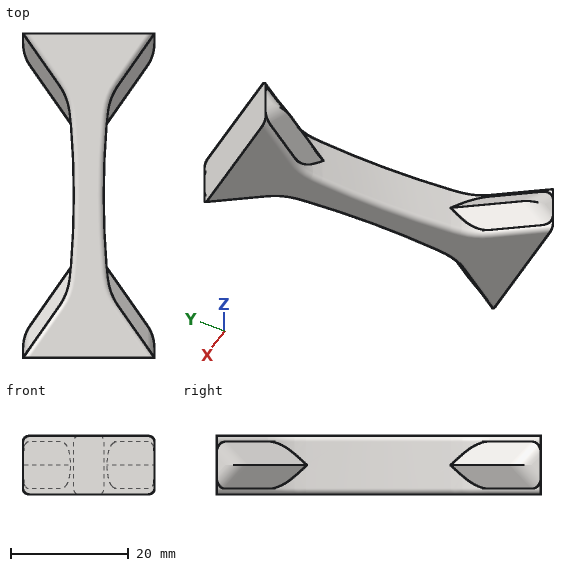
import cadquery as cq
import math

length = 55.0
end_width = 22.32
height = 10.0
edge_radius = 1.0

flank_angle = math.radians(35.0)
neck_start_angle = math.radians(7.2)
waist_end_angle = math.radians(4.7)
neck_radius = 10.0
neck_end_y = 18.69
waist_end_y = 12.27

fin_height = 2.15
fin_root_depth = 1.0
fin_start_x = 2.0
fin_round_radius = 4.0

half_length = length / 2
half_end = end_width / 2
mid_z = height / 2
fin_half_thickness = mid_z - edge_radius
beyond_part = 4 * length


def arc_mid(start, start_angle, end, end_angle):
    """Middle point of an arc that turns from one slope to another while y grows."""
    radius = (end[1] - start[1]) / (math.sin(end_angle) - math.sin(start_angle))
    mid_angle = (start_angle + end_angle) / 2
    return (
        start[0] + radius * (math.cos(start_angle) - math.cos(mid_angle)),
        start[1] + radius * (math.sin(mid_angle) - math.sin(start_angle)),
    )


def arc_rise(rise_y, start_angle, end_angle):
    """Change in x along an arc that climbs rise_y between two slopes."""
    return rise_y * math.tan((start_angle + end_angle) / 2)


def make_body():
    """Waisted bar with tangent side arcs and rounded long edges."""
    end = (half_end, half_length)
    neck_end = (half_end - (half_length - neck_end_y) * math.tan(flank_angle), neck_end_y)
    neck_rise = neck_radius * (math.sin(flank_angle) - math.sin(neck_start_angle))
    neck_start = (
        neck_end[0] - arc_rise(neck_rise, neck_start_angle, flank_angle),
        neck_end_y - neck_rise,
    )
    shoulder_rise = neck_start[1] - waist_end_y
    waist_end = (
        neck_start[0] - arc_rise(shoulder_rise, waist_end_angle, neck_start_angle),
        waist_end_y,
    )
    waist = (waist_end[0] - arc_rise(waist_end_y, 0, waist_end_angle), 0)

    shoulder_mid = arc_mid(waist_end, waist_end_angle, neck_start, neck_start_angle)
    neck_mid = arc_mid(neck_start, neck_start_angle, neck_end, flank_angle)

    def flip_y(point):
        return (point[0], -point[1])

    half_body = (
        cq.Workplane("XY")
        .moveTo(0, half_length)
        .lineTo(*end)
        .lineTo(*neck_end)
        .threePointArc(neck_mid, neck_start)
        .threePointArc(shoulder_mid, waist_end)
        .threePointArc(waist, flip_y(waist_end))
        .threePointArc(flip_y(shoulder_mid), flip_y(neck_start))
        .threePointArc(flip_y(neck_mid), flip_y(neck_end))
        .lineTo(*flip_y(end))
        .lineTo(0, -half_length)
        .close()
        .extrude(height)
    )
    around_side = cq.selectors.BoxSelector(
        (edge_radius, -half_length + edge_radius, -edge_radius),
        (half_end, half_length - edge_radius, height + edge_radius),
    )
    half_body = half_body.edges("#Z").edges(around_side).fillet(edge_radius)
    return half_body.union(half_body.mirror("YZ"))


def make_fin():
    """Fin on the +X +Y flank: a ridge parallel to the flank, rounded into the side plane."""
    along = (math.sin(flank_angle), math.cos(flank_angle), 0)
    inward = (-math.cos(flank_angle), math.sin(flank_angle), 0)

    start_x = fin_start_x + fin_height * inward[0]
    start_y = half_length - (half_end - start_x) / math.tan(flank_angle)
    start_plane = cq.Plane(origin=(start_x, start_y, mid_z), xDir=inward, normal=along)

    upper_half = (
        cq.Workplane(start_plane)
        .moveTo(-fin_height, 0)
        .lineTo(0, fin_half_thickness)
        .lineTo(fin_root_depth, fin_half_thickness)
        .lineTo(fin_root_depth, 0)
        .close()
        .extrude(length)
    )
    inside_width = cq.Workplane("XY").box(end_width, beyond_part, beyond_part)
    inside_length = cq.Workplane("XY").box(beyond_part, length, beyond_part)

    upper_half = upper_half.intersect(inside_width)
    corner = (half_end, half_length - fin_height, mid_z + fin_half_thickness / 2)
    upper_half = upper_half.edges(cq.NearestToPointSelector(corner)).fillet(fin_round_radius)
    upper_half = upper_half.intersect(inside_length)
    return upper_half.union(upper_half.mirror("XY", (0, 0, mid_z)))


def make_part():
    part = make_body()
    fin = make_fin()
    side_fins = fin.union(fin.mirror("XZ"))
    for fins in (side_fins, side_fins.mirror("YZ")):
        part = part.union(fins)
    return part


result = make_part()